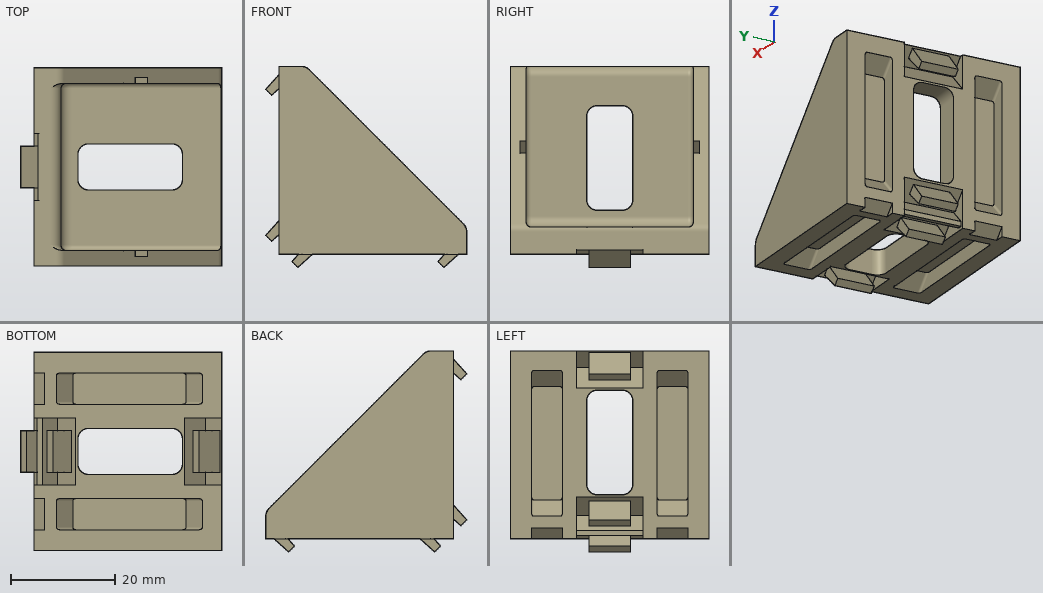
import cadquery as cq
import math


diagonal = 45
pick_margin = 0.4

body_size = 36.0
width = 38.0
plate_thickness = 5.25
rim_end = 5.2
side_wall = 3.0
outer_round = 2.0

cavity_width = width - 2 * side_wall
cavity_round = 2.0
cavity_side_fillet = 0.95

notch_length = 3.27
notch_depth = 3.27
notch_reach = 1.15
notch_draft = 2

slot_start = 8.47
slot_length = 20.0
slot_width = 8.78
slot_round = 2.0
slot_overcut = 0.4

pocket_start = 4.35
pocket_end = 32.25
pocket_depth = 3.1
pocket_width = 5.95
pocket_offset = 12.0
pocket_fillet = 0.45
corner_chamfer = 2.08

groove_width = 12.8
end_base = 36.8
end_flank = 28.88
corner_base = 8.0
corner_flank = 1.0
corner_step = 0.65
tab_width = 8.0
tab_thickness = 1.6
tab_draft = 3
overall_length = 38.5
tab_reach = overall_length - body_size
end_tab_tip = 31.6
corner_tab_tip = 3.65
tab_embed = 0.4


def prism(points, depth):
    """Extrude an XZ outline symmetrically about the mid plane."""
    return cq.Workplane("XZ").polyline(points).close().extrude(depth / 2, both=True)


def mirrored(shape):
    """Swap X and Z, taking a feature of the upright plate to the base plate."""
    return cq.Workplane(shape.val().mirror(cq.Vector(1, 0, -1), cq.Vector(0, 0, 0)))


def body():
    outline = [
        (0, 0),
        (body_size, 0),
        (body_size, rim_end),
        (rim_end, body_size),
        (0, body_size),
    ]
    rim_corners = cq.selectors.BoxSelector(
        (rim_end - pick_margin, -width, rim_end - pick_margin),
        (body_size + pick_margin, width, body_size + pick_margin),
    )
    return prism(outline, width).edges("|Y").edges(rim_corners).fillet(outer_round)


def cavity():
    far = 2 * body_size
    wall_top = body_size - cavity_round
    profile = (
        cq.Workplane("XZ")
        .moveTo(far, plate_thickness)
        .lineTo(plate_thickness + cavity_round, plate_thickness)
        .radiusArc((plate_thickness, plate_thickness + cavity_round), cavity_round)
        .lineTo(plate_thickness, wall_top)
        .radiusArc((plate_thickness - cavity_round, body_size), -cavity_round)
        .lineTo(0, body_size)
        .lineTo(0, far)
        .lineTo(far, far)
        .close()
    )
    block = profile.extrude(cavity_width / 2, both=True)
    floor_edges = cq.selectors.BoxSelector(
        (plate_thickness - pick_margin, -width, plate_thickness - pick_margin),
        (plate_thickness + pick_margin, width, wall_top),
    )
    return block.faces("<Y or >Y").edges(floor_edges).fillet(cavity_side_fillet)


def rim_notch():
    """Recess square to the rim, narrowing with depth."""
    rim_middle = (body_size + rim_end) / 2
    taper = notch_depth * math.tan(math.radians(notch_draft))
    outline = [
        (-notch_length / 2, 0),
        (taper - notch_length / 2, -notch_depth),
        (notch_length / 2 - taper, -notch_depth),
        (notch_length / 2, 0),
    ]
    return (
        prism(outline, cavity_width + 2 * notch_reach)
        .rotate((0, 0, 0), (0, 1, 0), diagonal)
        .translate((rim_middle, 0, rim_middle))
    )


def slot():
    return (
        cq.Workplane("XY")
        .box(plate_thickness + 2 * slot_overcut, slot_width, slot_length)
        .edges("|X")
        .fillet(slot_round)
        .translate((plate_thickness / 2, 0, slot_start + slot_length / 2))
    )


def pockets():
    outline = [
        (0, pocket_start),
        (pocket_depth, pocket_start + pocket_depth),
        (pocket_depth, pocket_end - pocket_depth),
        (0, pocket_end),
    ]
    end_ramps = cq.selectors.BoxSelector(
        (pocket_depth / 4, -width, 0),
        (pocket_depth * 3 / 4, width, body_size),
    )
    pocket = prism(outline, pocket_width).edges(end_ramps).fillet(pocket_fillet)
    return [pocket.translate((0, side * pocket_offset, 0)) for side in (-1, 1)]


def corner_flats():
    outline = [(0, 0), (corner_chamfer, 0), (0, corner_chamfer)]
    flat = prism(outline, pocket_width)
    return [flat.translate((0, side * pocket_offset, 0)) for side in (-1, 1)]


def groove(base, flank):
    outline = [
        ((base - flank) / 2, (base + flank) / 2),
        (0, base),
        (0, flank),
    ]
    return prism(outline, groove_width)


def corner_relief():
    ridge_height = corner_step + corner_flank
    outline = [
        (0, 0),
        (corner_step, 0),
        (corner_step, ridge_height),
        (0, ridge_height),
    ]
    return prism(outline, groove_width)


def tab(base, tip_height):
    """Tapered slab standing square on the groove wall X + Z = base."""
    length = (base - (tip_height - tab_reach)) / math.sqrt(2) + tab_embed
    flare = length * math.tan(math.radians(tab_draft))
    outline = [
        (0, 0),
        (0, -tab_thickness),
        (length, -tab_thickness - flare),
        (length, flare),
    ]
    return (
        prism(outline, tab_width)
        .rotate((0, 0, 0), (0, 1, 0), -diagonal)
        .translate((-tab_reach, 0, tip_height))
    )


result = body().cut(cavity()).cut(rim_notch())

for flat in corner_flats():
    result = result.cut(flat)

plate_cuts = [
    slot(),
    *pockets(),
    groove(end_base, end_flank),
    groove(corner_base, corner_flank),
    corner_relief(),
]
for cutter in plate_cuts:
    result = result.cut(cutter).cut(mirrored(cutter))

for locator in (tab(end_base, end_tab_tip), tab(corner_base, corner_tab_tip)):
    result = result.union(locator).union(mirrored(locator))